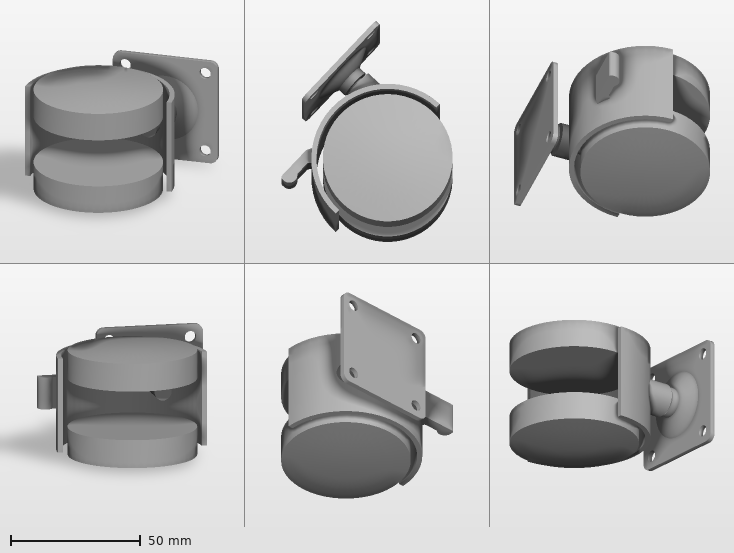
import cadquery as cq
import math


wheel_radius = 25.0
wheel_gap = 19.1
wheel_rim_width = 11.0
dome_rise = 2.0

hood_outer_radius = 29.4
hood_wall = 2.0
hood_width = 37.05
hood_inner_radius = hood_outer_radius - hood_wall

swivel_x = 15.5
boss_radius = 6.55
boss_top_y = 30.5
stem_radius = 3.35
stem_end_y = 15.0

lever_width = 12.5
lever_top_y = 26.95
lever_bottom_y = 23.05
grip_x = -28.65
grip_y = 25.05
grip_radius = 3.1
grip_neck_radius = 0.5
lever_corner_radius = 1.0
lever_top_corner_x = -17.05
lever_bottom_corner_x = -20.5
top_slope_run = 2.4
top_slope_drop = 1.35
bottom_slope_run = 1.2
lever_root = (-17.05, 22.4)

plate_size = 42.0
plate_thickness = 2.0
plate_back_y = 40.05
plate_corner_radius = 3.0
hole_inset = 5.0
hole_diameter = 4.5
cone_large_radius = 13.25
collar_radius = 5.8
collar_top_y = 34.6
collar_bottom_y = 31.45
plate_front_y = plate_back_y - plate_thickness


def swivel_cylinder(radius, start_y, end_y):
    """Cylinder on the swivel axis between two Y levels."""
    return cq.Workplane(
        cq.Solid.makeCylinder(
            radius, end_y - start_y, cq.Vector(swivel_x, start_y, 0), cq.Vector(0, 1, 0)
        )
    )


def make_wheel(side):
    """One domed wheel; side is +1 for the upper wheel and -1 for the lower one."""
    inner_z = side * wheel_gap / 2
    rim_z = inner_z + side * wheel_rim_width
    crown_z = rim_z + side * dome_rise
    dome_radius = (wheel_radius**2 + dome_rise**2) / (2 * dome_rise)
    half_angle = math.asin(wheel_radius / dome_radius) / 2
    dome_mid = (
        dome_radius * math.sin(half_angle),
        crown_z - side * dome_radius * (1 - math.cos(half_angle)),
    )
    return (
        cq.Workplane("XZ")
        .moveTo(0, inner_z)
        .lineTo(wheel_radius, inner_z)
        .lineTo(wheel_radius, rim_z)
        .threePointArc(dome_mid, (0, crown_z))
        .close()
        .revolve(360, (0, 0, 0), (0, 1, 0))
    )


def make_lever():
    """Brake lever with a rounded grip; its root reaches into the hood wall."""
    grip_left_x = grip_x - grip_radius
    grip_bottom_x = grip_x + math.sqrt(grip_radius**2 - (lever_bottom_y - grip_y) ** 2)
    grip_mid = (
        grip_x - grip_radius * math.sqrt(0.5),
        grip_y - grip_radius * math.sqrt(0.5),
    )
    lever = (
        cq.Workplane("XY")
        .workplane(offset=-lever_width / 2)
        .moveTo(grip_left_x, lever_top_y)
        .lineTo(lever_top_corner_x, lever_top_y)
        .lineTo(lever_top_corner_x + top_slope_run, lever_top_y - top_slope_drop)
        .lineTo(*lever_root)
        .lineTo(lever_bottom_corner_x + bottom_slope_run, lever_bottom_y - bottom_slope_run)
        .lineTo(lever_bottom_corner_x, lever_bottom_y)
        .lineTo(grip_bottom_x, lever_bottom_y)
        .threePointArc(grip_mid, (grip_left_x, grip_y))
        .close()
        .extrude(lever_width)
    )
    rounded_corners = [
        (grip_left_x, lever_top_y, lever_corner_radius),
        (lever_bottom_corner_x, lever_bottom_y, lever_corner_radius),
        (grip_bottom_x, lever_bottom_y, grip_neck_radius),
    ]
    for x, y, radius in rounded_corners:
        lever = lever.edges(cq.NearestToPointSelector((x, y, 0))).fillet(radius)
    return lever


def make_hood():
    """Half-tube hood with the swivel boss and the brake lever."""
    half_disc = (
        cq.Workplane("XY")
        .moveTo(-hood_outer_radius, 0)
        .threePointArc((0, hood_outer_radius), (hood_outer_radius, 0))
        .close()
        .extrude(hood_width / 2, both=True)
    )
    boss = swivel_cylinder(boss_radius, stem_end_y, boss_top_y)
    bore = cq.Workplane("XY").circle(hood_inner_radius).extrude(hood_width, both=True)
    stem_hole = swivel_cylinder(stem_radius, 0, boss_top_y)
    return half_disc.union(boss).union(make_lever()).cut(bore).cut(stem_hole)


def make_plate():
    """Square mounting plate with four holes, conical flange, collar and stem."""
    hole_pitch = plate_size - 2 * hole_inset
    plate = (
        cq.Workplane("XZ", origin=(swivel_x, plate_back_y, 0))
        .rect(plate_size, plate_size)
        .extrude(plate_thickness)
        .edges("|Y")
        .fillet(plate_corner_radius)
        .faces("<Y")
        .workplane(origin=(swivel_x, plate_front_y, 0))
        .rect(hole_pitch, hole_pitch, forConstruction=True)
        .vertices()
        .hole(hole_diameter)
    )
    cone = cq.Workplane(
        cq.Solid.makeCone(
            collar_radius,
            cone_large_radius,
            plate_front_y - collar_top_y,
            cq.Vector(swivel_x, collar_top_y, 0),
            cq.Vector(0, 1, 0),
        )
    )
    collar = swivel_cylinder(collar_radius, collar_bottom_y, collar_top_y)
    stem = swivel_cylinder(stem_radius, stem_end_y, collar_bottom_y)
    return plate.union(cone).union(collar).union(stem)


wheels = [make_wheel(side) for side in (1, -1)]
hood = make_hood()
mounting_plate = make_plate()

result = cq.Compound.makeCompound(
    [hood.val(), mounting_plate.val(), *[wheel.val() for wheel in wheels]]
)